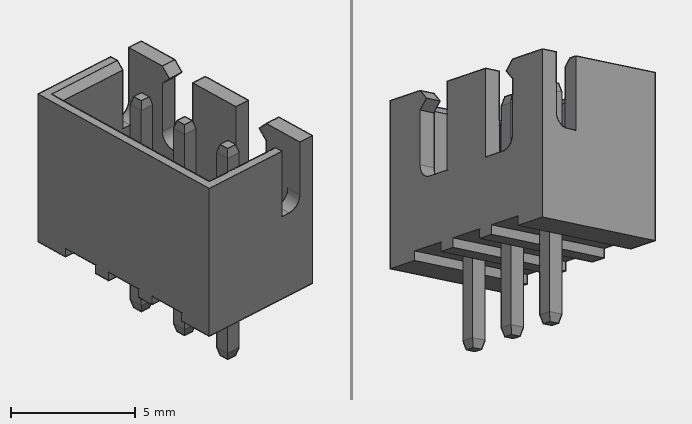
import cadquery as cq


overall_height = 10.5

body_length = 9.9
body_depth = 5.75
body_height = 7.0
wall = 0.7
floor_top = 2.0
rim_chamfer = 0.32

pin_count = 3
pin_pitch = 2.5
pin_side = 0.64
pin_tip_side = 0.44
pin_tip_length = 0.38
pin_top_gap = 0.5
pin_to_front = 3.4

groove_width = 1.72
groove_height = 0.4

end_slot_depth = 3.1
back_slot_depth = 3.7
slot_corner_radius = 0.6
end_slot_width = 1.0
back_slot_inner = 1.25
back_slot_outer = 3.0
tooth_reach = 0.41

front_y = -pin_to_front
back_y = front_y + body_depth
back_wall_y = back_y - wall
pin_bottom = body_height - overall_height
pin_top = body_height - pin_top_gap
pin_places = [(i - (pin_count - 1) / 2) * pin_pitch for i in range(pin_count)]


def block(x_range, y_range, z_range):
    """Box spanning the given (low, high) ranges."""
    sizes = [high - low for low, high in (x_range, y_range, z_range)]
    corner = (x_range[0], y_range[0], z_range[0])
    return cq.Workplane("XY").box(*sizes, centered=False).translate(corner)


def make_shell():
    """Open-topped box with a chamfered inner rim on the front and end walls."""
    half = body_length / 2
    inner_half = half - wall
    inner_front = front_y + wall
    shell = block((-half, half), (front_y, back_y), (0, body_height))
    cavity = block((-inner_half, inner_half), (inner_front, back_wall_y), (floor_top, body_height))
    mouth_depth = back_wall_y - inner_front
    mouth = (
        cq.Workplane("XY", origin=(0, back_wall_y, body_height - rim_chamfer))
        .rect(2 * inner_half, 2 * mouth_depth)
        .workplane(offset=rim_chamfer)
        .rect(2 * (inner_half + rim_chamfer), 2 * (mouth_depth + rim_chamfer))
        .loft(ruled=True)
    )
    mouth_limit = block((-half, half), (front_y, back_wall_y), (0, body_height))
    return shell.cut(cavity).cut(mouth.intersect(mouth_limit))


def make_grooves():
    """Grooves across the underside, one beneath each pin."""
    half = groove_width / 2
    grooves = cq.Workplane("XY")
    for x in pin_places:
        grooves = grooves.add(block((x - half, x + half), (front_y, back_y), (0, groove_height)))
    return grooves.combine()


def make_end_slot():
    """Slot through both end walls, rounded where it meets the back wall."""
    return (
        block(
            (-body_length / 2, body_length / 2),
            (back_wall_y - end_slot_width, back_wall_y),
            (body_height - end_slot_depth, body_height),
        )
        .edges(">Y and <Z")
        .fillet(slot_corner_radius)
    )


def make_back_slot():
    """Right-hand slot in the back wall, with a pointed tooth left on its outer edge."""
    slot = (
        block(
            (back_slot_inner, back_slot_outer),
            (back_wall_y, back_y),
            (body_height - back_slot_depth, body_height),
        )
        .edges(">X and <Z")
        .fillet(slot_corner_radius)
    )
    tooth = (
        cq.Workplane("XZ", origin=(0, back_y, 0))
        .moveTo(back_slot_outer, body_height)
        .lineTo(back_slot_outer - tooth_reach, body_height - tooth_reach)
        .lineTo(back_slot_outer, body_height - 2 * tooth_reach)
        .close()
        .extrude(wall)
    )
    return slot.cut(tooth)


def make_pin(x):
    """Square pin with a tapered tip at each end."""
    shank_bottom = pin_bottom + pin_tip_length
    shank_top = pin_top - pin_tip_length
    return (
        cq.Workplane("XY", origin=(x, 0, shank_bottom))
        .rect(pin_side, pin_side)
        .extrude(shank_top - shank_bottom)
        .union(make_tip(x, shank_top, pin_tip_length))
        .union(make_tip(x, shank_bottom, -pin_tip_length))
    )


def make_tip(x, base_z, length):
    """Tapered pin tip; a negative length points it down."""
    return (
        cq.Workplane("XY", origin=(x, 0, base_z))
        .rect(pin_side, pin_side)
        .workplane(offset=length)
        .rect(pin_tip_side, pin_tip_side)
        .loft(ruled=True)
    )


back_slot = make_back_slot()
result = (
    make_shell()
    .cut(make_grooves())
    .cut(make_end_slot())
    .cut(back_slot)
    .cut(back_slot.mirror("YZ"))
)
for pin_x in pin_places:
    result = result.union(make_pin(pin_x))